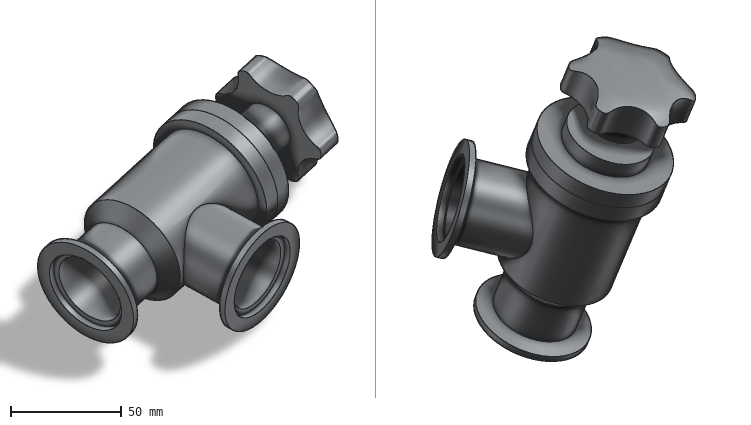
import cadquery as cq
import math


overall_width = 89.5
overall_length = 153.0
flange_diameter = 65.0
flange_radius = flange_diameter / 2

port_reach = overall_width - flange_radius
pipe_radius = 20.0
bore_radius = 17.6
port_rim_radius = 27.5
port_rim_thickness = 3.0
port_taper_length = 2.1
port_recess_radius = 20.7
port_recess_depth = 3.0

barrel_radius = port_rim_radius
cone_start_y = 27.0
cone_end_y = 34.5
housing_flange_y = 91.8
housing_top_y = 99.9

bonnet_flange_top_y = 108.0
boss_radius = 21.0
boss_top_y = 116.0
stem_radius = 6.0
stem_top_y = 121.0

hub_radius = 12.5
knob_base_y = 134.8
knob_edge_y = 147.3
knob_radius = 30.1
dome_flat_radius = 11.0
lobe_count = 6
scoop_radius = 16.0
scoop_center_radius = 38.2
lobe_rounding = 3.0


def cylinder(radius, start_y, end_y):
    """Cylinder on the Y axis."""
    return cq.Workplane("XZ", origin=(0, start_y, 0)).circle(radius).extrude(start_y - end_y)


def port_outline(pipe_end_y):
    """Flanged pipe on the Y axis, with its flange face at Y = 0."""
    taper_end_y = port_rim_thickness + port_taper_length
    profile = [
        (0, 0),
        (port_rim_radius, 0),
        (port_rim_radius, port_rim_thickness),
        (pipe_radius, taper_end_y),
        (pipe_radius, pipe_end_y),
        (0, pipe_end_y),
    ]
    return cq.Workplane("XY").polyline(profile).close().revolve(360, (0, 0, 0), (0, 1, 0))


def port_opening(bore_end_y):
    """Bore with its wider centring-ring recess, opening at Y = 0."""
    recess = cylinder(port_recess_radius, 0, port_recess_depth)
    return cylinder(bore_radius, 0, bore_end_y).union(recess)


def turn_to_side_port(shape):
    """Turn a shape from the inlet about the crossing of the two port axes onto the side port."""
    crossing = (0, port_reach, 0)
    axis_end = (0, port_reach, 1)
    return shape.rotate(crossing, axis_end, 90)


def make_housing():
    barrel_profile = [
        (0, cone_start_y),
        (pipe_radius, cone_start_y),
        (barrel_radius, cone_end_y),
        (barrel_radius, housing_flange_y),
        (flange_radius, housing_flange_y),
        (flange_radius, housing_top_y),
        (0, housing_top_y),
    ]
    barrel = cq.Workplane("XY").polyline(barrel_profile).close().revolve(360, (0, 0, 0), (0, 1, 0))
    inlet = port_outline(cone_start_y)
    side_port = turn_to_side_port(port_outline(port_reach))
    inlet_opening = port_opening(housing_top_y)
    side_opening = turn_to_side_port(port_opening(port_reach))
    return barrel.union(inlet).union(side_port).cut(inlet_opening).cut(side_opening)


def make_bonnet():
    flange = cylinder(flange_radius, housing_top_y, bonnet_flange_top_y)
    boss = cylinder(boss_radius, bonnet_flange_top_y, boss_top_y)
    stem = cylinder(stem_radius, boss_top_y, stem_top_y)
    return flange.union(boss).union(stem)


def make_domed_blank():
    """Round knob blank whose flat top runs tangentially into a domed shoulder."""
    shoulder_width = knob_radius - dome_flat_radius
    shoulder_drop = overall_length - knob_edge_y
    dome_radius = (shoulder_width**2 + shoulder_drop**2) / (2 * shoulder_drop)
    half_angle = math.asin(shoulder_width / dome_radius) / 2
    dome_middle = (
        dome_flat_radius + dome_radius * math.sin(half_angle),
        overall_length - dome_radius * (1 - math.cos(half_angle)),
    )
    return (
        cq.Workplane("XY")
        .moveTo(0, knob_base_y)
        .lineTo(knob_radius, knob_base_y)
        .lineTo(knob_radius, knob_edge_y)
        .threePointArc(dome_middle, (dome_flat_radius, overall_length))
        .lineTo(0, overall_length)
        .close()
        .revolve(360, (0, 0, 0), (0, 1, 0))
    )


def make_knob():
    lobe_pitch = 360 / lobe_count
    head = make_domed_blank().rotate((0, 0, 0), (0, 1, 0), lobe_pitch / 2)
    scoop = cylinder(scoop_radius, knob_base_y, overall_length).translate((scoop_center_radius, 0, 0))
    for index in range(lobe_count):
        angle = (index + 0.5) * lobe_pitch
        head = head.cut(scoop.rotate((0, 0, 0), (0, 1, 0), angle))
    head = head.edges("|Y").fillet(lobe_rounding)
    hub = cylinder(hub_radius, stem_top_y, knob_base_y)
    return head.union(hub)


housing = make_housing()
bonnet = make_bonnet()
knob = make_knob()

result = cq.Compound.makeCompound([housing.val(), bonnet.val(), knob.val()])